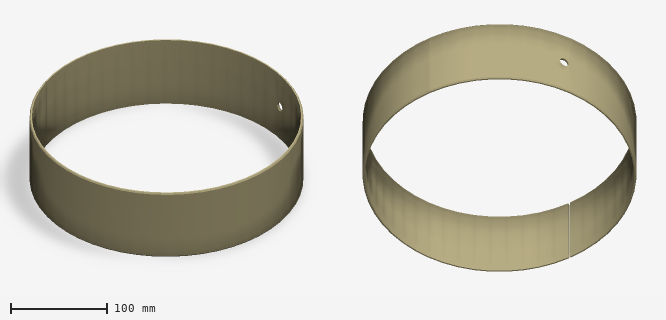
import cadquery as cq

outer_diameter = 285.0
height = 80.0
wall = 2.5
outer_radius = outer_diameter / 2
inner_radius = outer_radius - wall

bevel_height = 1.5
bevel_depth = 1.0

slit_width = 2.0

hole_diameter = 10.0
hole_angle = 59.0
hole_height = height / 2


def make_band():
    section = [
        (inner_radius, 0),
        (outer_radius - bevel_depth, 0),
        (outer_radius, bevel_height),
        (outer_radius, height - bevel_height),
        (outer_radius - bevel_depth, height),
        (inner_radius, height),
    ]
    return cq.Workplane("XZ").polyline(section).close().revolve(360, (0, 0, 0), (0, 1, 0))


def make_slit():
    cutter = cq.Workplane("XY").box(outer_radius, slit_width, height, centered=False)
    return cutter.translate((-outer_radius, 0, 0))


def make_hole():
    drill = cq.Workplane("YZ").center(0, hole_height).circle(hole_diameter / 2).extrude(outer_diameter)
    return drill.rotate((0, 0, 0), (0, 0, 1), hole_angle)


result = make_band().cut(make_slit()).cut(make_hole())